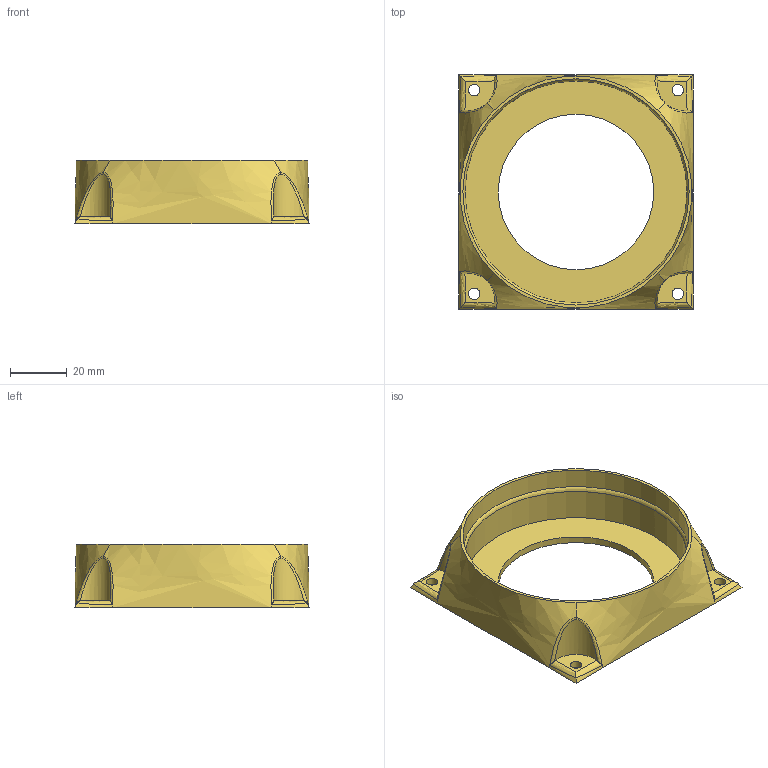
import cadquery as cq
import math

base_side = 83.0
height = 22.5
rim_outer_radius = 41.0

floor_thickness = 2.5
opening_radius = 27.5
lower_bore_radius = 39.25
upper_bore_radius = 40.0
ledge_top = 15.4
ledge_round = 2.0

screw_spacing = 72.0
screw_hole_diameter = 4.0
well_radius = 9.25
well_edge_offset = 3.5
well_mouth_fillet = 1.0
flange_fillet = 2.0

half_side = base_side / 2
well_spacing = base_side - 2 * well_edge_offset


def base_outline():
    """Square at the bottom, made of four straight edges."""
    corners = [(-1, -1), (1, -1), (1, 1), (-1, 1)]
    points = [cq.Vector(half_side * x, half_side * y, 0) for x, y in corners]
    return cq.Wire.makePolygon(points, close=True)


def rim_point(angle):
    """Point on the top circle at an angle in degrees."""
    turn = math.radians(angle)
    return cq.Vector(rim_outer_radius * math.cos(turn), rim_outer_radius * math.sin(turn), height)


def rim_outline():
    """Circle at the top, split on the diagonals so each arc pairs with one side of the square."""
    arcs = []
    for middle in (-90, 0, 90, 180):
        start, end = rim_point(middle - 45), rim_point(middle + 45)
        arcs.append(cq.Edge.makeThreePointArc(start, rim_point(middle), end))
    return cq.Wire.assembleEdges(arcs)


def transition_body():
    """Solid that blends from the square base to the round rim."""
    return cq.Workplane(cq.Solid.makeLoft([base_outline(), rim_outline()], True))


def corner_columns(spacing, radius):
    """Four full-height vertical cylinders, one near each corner."""
    return (
        cq.Workplane("XY")
        .rect(spacing, spacing, forConstruction=True)
        .vertices()
        .circle(radius)
        .extrude(height)
    )


def shell_with_wells():
    """Transition body with the wells cut right through and their arched mouths rounded."""
    shell = transition_body().cut(corner_columns(well_spacing, well_radius))
    mouths = [edge for edge in shell.edges().vals() if edge.BoundingBox().zlen > height / 2]
    return shell.newObject(mouths).fillet(well_mouth_fillet)


def base_flange():
    """Lowest slice of the transition body with a rounded top edge; it forms the well floors."""
    slab = cq.Workplane("XY").box(base_side, base_side, floor_thickness, centered=(True, True, False))
    return transition_body().intersect(slab).faces(">Z").edges().fillet(flange_fillet)


def stepped_bore():
    """Revolved cutter: opening, lower bore, rounded ledge and upper bore."""
    arc_center_radius = lower_bore_radius + ledge_round
    arc_sweep = math.acos((arc_center_radius - upper_bore_radius) / ledge_round)
    ledge_bottom = ledge_top - ledge_round * math.sin(arc_sweep)
    ledge_middle = (
        arc_center_radius - ledge_round * math.cos(arc_sweep / 2),
        ledge_bottom + ledge_round * math.sin(arc_sweep / 2),
    )
    return (
        cq.Workplane("XZ")
        .lineTo(opening_radius, 0)
        .lineTo(opening_radius, floor_thickness)
        .lineTo(lower_bore_radius, floor_thickness)
        .lineTo(lower_bore_radius, ledge_bottom)
        .threePointArc(ledge_middle, (upper_bore_radius, ledge_top))
        .lineTo(upper_bore_radius, height)
        .lineTo(0, height)
        .close()
        .revolve(360, (0, 0), (0, 1))
    )


body = shell_with_wells().union(base_flange())
screw_holes = corner_columns(screw_spacing, screw_hole_diameter / 2)
result = body.cut(stepped_bore()).cut(screw_holes)